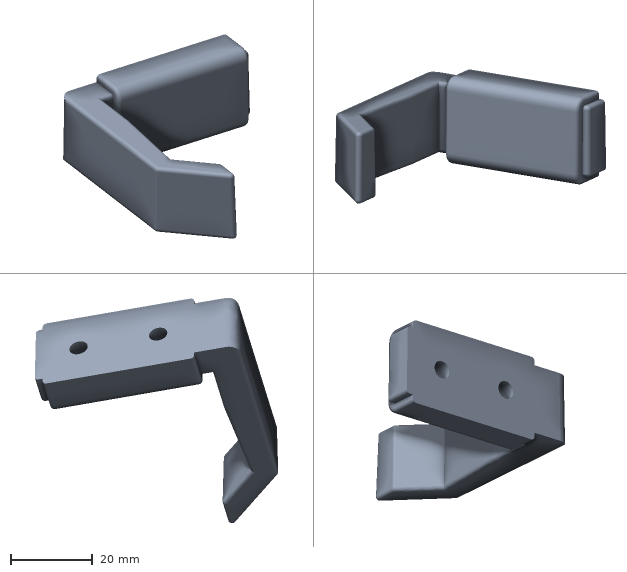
import cadquery as cq
import math

bar_height = 18.0
draft_angle = 1.0
bar_length_y = 51.05
leg_thickness = 7.85
arm_thickness = 8.15
arm_taper_start_x = 19.85
inner_bend = (41.3, 6.5)
outer_bend_x = 43.9
tip_y = 15.55
tip_angle = 46.5
edge_radius = 1.0
corner_radius = 3.0

block_height = 22.0
block_start_y = 11.05
block_length = 38.0
block_depth = 10.4
block_edge_radius = 3.0

hole_diameter = 4.6
hole_depth = 5.75
hole_positions_y = (20.05, 40.05)

back_stock = 5.75
bar_bottom = -bar_height / 2


def box_between(low, high):
    size = [b - a for a, b in zip(low, high)]
    return cq.Workplane("XY").box(*size, centered=False).translate(low)


def edges_near(x, y):
    """Select the upright bar edge that starts near (x, y)."""
    reach = 0.85
    return cq.selectors.BoxSelector(
        (x - reach, y - reach, -reach), (x + reach, y + reach, reach)
    )


def make_hook():
    tip_slope = math.tan(math.radians(tip_angle))
    outer_tip_x = outer_bend_x + tip_y / tip_slope
    inner_tip_x = inner_bend[0] + (tip_y - inner_bend[1]) / tip_slope
    outline = [
        (-back_stock, 0),
        (outer_bend_x, 0),
        (outer_tip_x, tip_y),
        (inner_tip_x, tip_y),
        inner_bend,
        (arm_taper_start_x, arm_thickness),
        (leg_thickness, arm_thickness),
        (leg_thickness, bar_length_y),
        (-back_stock, bar_length_y),
    ]
    lower = cq.Wire.makePolygon([cq.Vector(x, y, bar_bottom) for x, y in outline], close=True)
    draft_inset = bar_height * math.tan(math.radians(draft_angle))
    upper = lower.offset2D(-draft_inset, "intersection")[0].translate(cq.Vector(0, 0, bar_height))
    bar = cq.Workplane(cq.Solid.makeLoft([lower, upper], ruled=True))

    envelope = bar.intersect(box_between(
        (0, 0, bar_bottom), (2 * outer_tip_x, bar_length_y, -bar_bottom)
    ))
    envelope = envelope.edges(edges_near(0, 0)).fillet(corner_radius)

    rounded_edges = bar.faces("<Z or >Z").edges()
    for x, y in (
        (outer_bend_x, 0),
        (outer_tip_x, tip_y),
        (inner_tip_x, tip_y),
        (leg_thickness, bar_length_y),
    ):
        rounded_edges = rounded_edges.add(bar.edges(edges_near(x, y)))
    return rounded_edges.fillet(edge_radius).intersect(envelope)


def make_block():
    half_height = block_height / 2
    upper_depth = block_depth - block_height * math.tan(math.radians(draft_angle))
    section = [
        (0, -half_height),
        (block_depth, -half_height),
        (upper_depth, half_height),
        (0, half_height),
    ]
    block = (
        cq.Workplane("XZ", origin=(0, block_start_y, 0))
        .polyline(section).close()
        .extrude(-block_length)
    )
    clear_of_face = cq.selectors.BoxSelector(
        (edge_radius, 0, -block_height), (2 * block_depth, bar_length_y, block_height)
    )
    block = block.edges("|Y").edges(clear_of_face).fillet(block_edge_radius)
    return block.faces("<Y or >Y").edges(clear_of_face).fillet(edge_radius)


def make_holes():
    return (
        cq.Workplane("YZ")
        .pushPoints([(y, 0) for y in hole_positions_y])
        .circle(hole_diameter / 2)
        .extrude(hole_depth)
    )


result = make_hook().union(make_block()).cut(make_holes())